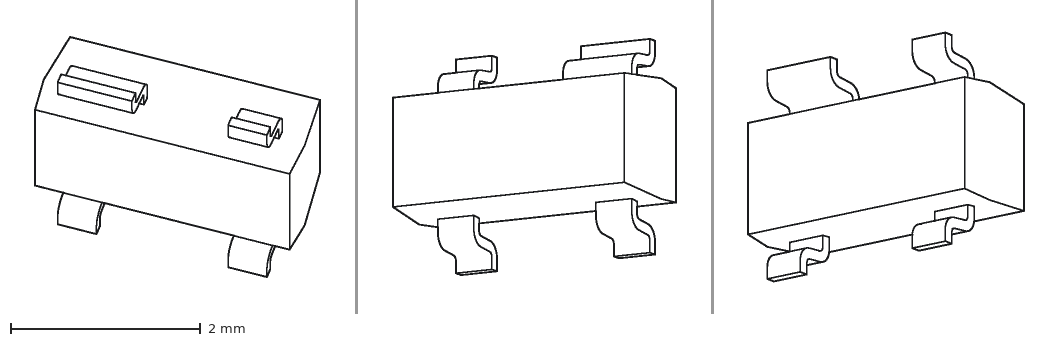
import cadquery as cq
import math

HOUSING_LENGTH = 2.9
HOUSING_HEIGHT = 1.3
FRONT_DEPTH = 0.4
BACK_DEPTH = 0.7
DRAFT_ANGLE = 5.0

OVERALL_HEIGHT = 2.3
LEAD_THICKNESS = 0.12
INNER_BEND_RADIUS = 0.052
OUTER_BEND_RADIUS = INNER_BEND_RADIUS + LEAD_THICKNESS
FOOT_LENGTH = 0.13
LEAD_SLOPE = 5.0
NARROW_LEAD_WIDTH = 0.432
WIDE_LEAD_WIDTH = 0.826
LEAD_ROW_EDGE = 1.163


def make_housing():
    front_half = (
        cq.Workplane("XZ")
        .rect(HOUSING_LENGTH, HOUSING_HEIGHT)
        .extrude(FRONT_DEPTH, taper=DRAFT_ANGLE)
    )
    back_half = (
        cq.Workplane("ZX")
        .rect(HOUSING_HEIGHT, HOUSING_LENGTH)
        .extrude(BACK_DEPTH, taper=DRAFT_ANGLE)
    )
    return front_half.union(back_half)


def point_on_arc(center, radius, angle):
    """Point in the YZ plane at an angle in degrees measured from +Y toward +Z."""
    turn = math.radians(angle)
    return (center[0] + radius * math.cos(turn), center[1] + radius * math.sin(turn))


def make_upper_lead(left_side, width):
    """Lead leaving the upper side of the housing, with its foot flush with the housing front."""
    root_z = HOUSING_HEIGHT / 2
    tip_z = OVERALL_HEIGHT / 2
    foot_front_y = -FRONT_DEPTH
    foot_back_y = foot_front_y + LEAD_THICKNESS
    root_back_z = root_z - LEAD_THICKNESS * math.tan(math.radians(DRAFT_ANGLE))

    slope = math.radians(LEAD_SLOPE)
    root_bend_y = -INNER_BEND_RADIUS
    foot_bend_y = foot_back_y + INNER_BEND_RADIUS
    center_gap_y = root_bend_y - foot_bend_y
    radius_sum = INNER_BEND_RADIUS + OUTER_BEND_RADIUS
    center_gap_z = (radius_sum + center_gap_y * math.sin(slope)) / math.cos(slope)
    foot_bend_z = tip_z - FOOT_LENGTH
    root_bend = (root_bend_y, foot_bend_z - center_gap_z)
    foot_bend = (foot_bend_y, foot_bend_z)

    root_end = 90 - LEAD_SLOPE
    root_middle = root_end / 2
    foot_start = root_end + 180
    foot_middle = root_middle + 180

    profile = (
        cq.Workplane("YZ", origin=(left_side, 0, 0))
        .moveTo(LEAD_THICKNESS, root_back_z)
        .lineTo(*point_on_arc(root_bend, OUTER_BEND_RADIUS, 0))
        .threePointArc(
            point_on_arc(root_bend, OUTER_BEND_RADIUS, root_middle),
            point_on_arc(root_bend, OUTER_BEND_RADIUS, root_end),
        )
        .lineTo(*point_on_arc(foot_bend, INNER_BEND_RADIUS, foot_start))
        .threePointArc(
            point_on_arc(foot_bend, INNER_BEND_RADIUS, foot_middle),
            point_on_arc(foot_bend, INNER_BEND_RADIUS, 180),
        )
        .lineTo(foot_back_y, tip_z)
        .lineTo(foot_front_y, tip_z)
        .lineTo(*point_on_arc(foot_bend, OUTER_BEND_RADIUS, 180))
        .threePointArc(
            point_on_arc(foot_bend, OUTER_BEND_RADIUS, foot_middle),
            point_on_arc(foot_bend, OUTER_BEND_RADIUS, foot_start),
        )
        .lineTo(*point_on_arc(root_bend, INNER_BEND_RADIUS, root_end))
        .threePointArc(
            point_on_arc(root_bend, INNER_BEND_RADIUS, root_middle),
            point_on_arc(root_bend, INNER_BEND_RADIUS, 0),
        )
        .lineTo(0, root_z)
        .close()
    )
    return profile.extrude(width)


def make_lower_lead(left_side, width):
    return make_upper_lead(left_side, width).mirror("XY")


housing = make_housing()

right_lead_start = LEAD_ROW_EDGE - NARROW_LEAD_WIDTH
wide_lead = make_upper_lead(-LEAD_ROW_EDGE, WIDE_LEAD_WIDTH)
narrow_leads = [make_upper_lead(right_lead_start, NARROW_LEAD_WIDTH)]
for lead_start in (-LEAD_ROW_EDGE, right_lead_start):
    narrow_leads.append(make_lower_lead(lead_start, NARROW_LEAD_WIDTH))

result = cq.Compound.makeCompound(
    [housing.val(), wide_lead.val(), *[lead.val() for lead in narrow_leads]]
)